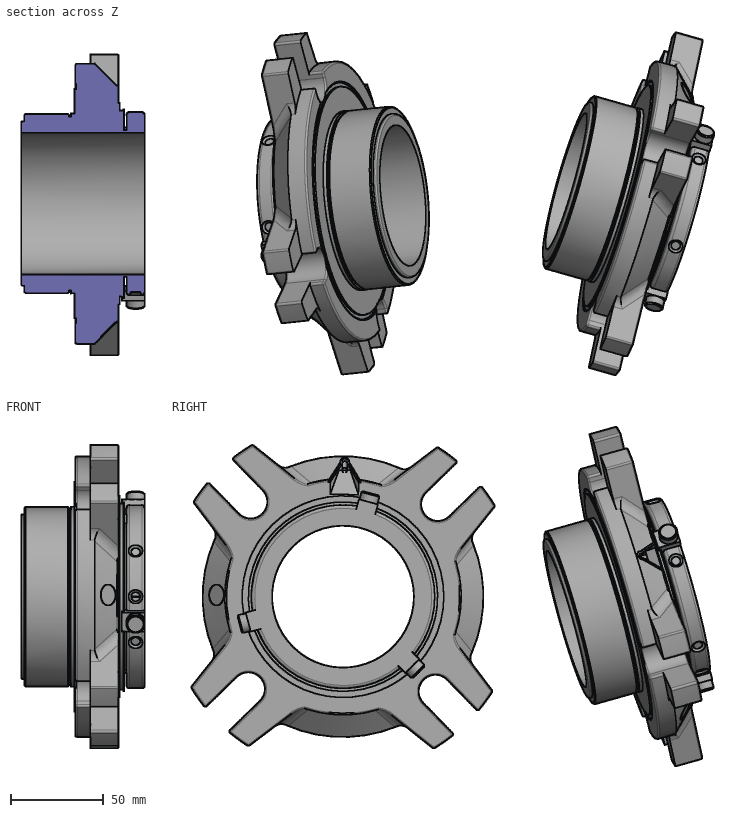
import cadquery as cq
import math


TOTAL_LENGTH = 66.56
BORE_DIA = 76.2
SLEEVE_DIA = 79.27
LIP_DIA = 88.79
LIP_FILLET = 0.9
BODY_DIA = 96.73
BODY_START = 1.66
BODY_END = 25.8
BODY_CHAMFER = 0.7
NECK_DIA = 93.68
NECK_END = 26.7
COLLET_DIA = 97.06

PILOT_DIA = 123.7
PILOT_FACE = 28.65
PLATE_DIA = 151.2
PLATE_FACE = 29.1
PLATE_EDGE_FILLET = 1.0
GROOVE_OUTER_DIA = 128.0
GROOVE_DEPTH = 0.5
GROOVE_MOUTH_DIA = 129.4
PLATE_BACK = 52.5
CONE_START = 39.5
CONE_END = 51.5
GLAND_TILT = -0.75

LUG_COUNT = 4
LUG_ANGLES = [i * 360 / LUG_COUNT for i in range(LUG_COUNT)]
LUG_TURN = 45
LUG_FACE = 37.2
LUG_TIP_RADIUS = 95.25
LUG_HALF_ANGLE = 13.49
LUG_FLARE = 7.0
LUG_ROOT_REACH = 45.0
LUG_ROOT_FILLET = 6.0
LUG_CORNER_FILLET = 1.1
LUG_BACK_FILLET = 0.9
SLOT_WIDTH = 17.9
SLOT_BOTTOM_RADIUS = 62.3

PLUG_DIA = 11.25
PLUG_STATION = 46.95
PLUG_RECESS = 0.3
NOTCH_TIP = 41.6
NOTCH_TIP_RADIUS = 1.325
NOTCH_HALF_WIDTH = 7.6
NOTCH_FLOOR_START = 45.6
NOTCH_FLOOR_RADIUS = 68.0
NOTCH_END_RADIUS = 55.0
NOTCH_LEDGE_WIDTH = 1.2
NOTCH_LEDGE_DEPTH = 0.5

HUB_DIA = 108.5
HUB_END = 53.1
NOSE_DIA = 100.33
NOSE_END = 54.9
RIM_DIA = 101.85
RIM_END = 55.45

COLLAR_DIA = 98.7
COLLAR_START = 56.6
COLLAR_FILLET = 1.7
COLLAR_MIDDLE = (COLLAR_START + TOTAL_LENGTH) / 2
SET_SCREW_ANGLES = [30, 90, 150, 210, 270, 330]
LOCK_SCREW_ANGLE = 180
SCREW_DIA = 4.91
LOCK_SLOT_WIDTH = 0.6
LOCK_SLOT_DEPTH = 0.6
COUNTERSINK_DIA = 7.6
COUNTERSINK_DEPTH = 1.3

CLIP_ANGLES = [75, 195, 315]
CLIP_WIDTH = 10.6
CLIP_START = 54.2
CLIP_INNER_RADIUS = 47.2
CLIP_OUTER_RADIUS = 52.8
HEAD_DIA = 9.99
HEAD_TOP_RADIUS = 57.6
HEAD_CHAMFER = 0.7


def cylinder(diameter, start, end):
    """Solid cylinder on the X axis between two stations."""
    return cq.Workplane("YZ", origin=(start, 0, 0)).circle(diameter / 2).extrude(end - start)


def about_axis(shape, angle):
    """Turn a shape about the X axis, from +Y toward +Z."""
    return shape.rotate((0, 0, 0), (1, 0, 0), angle)


def radial_plane(station, radius):
    """Workplane facing +Y at a given radius, with its local x direction along X."""
    return cq.Workplane(cq.Plane(origin=(station, radius, 0), xDir=(1, 0, 0), normal=(0, 1, 0)))


def cone_radius(station):
    """Radius of the 45 degree cone on the gland at a given station."""
    return PLATE_DIA / 2 - (station - CONE_START)


def make_seal_body():
    """Stepped body in front of the gland: lip, main cylinder, neck and collet."""
    lip = cylinder(LIP_DIA, 0, BODY_START).faces("<X").edges().fillet(LIP_FILLET)
    body = cylinder(BODY_DIA, BODY_START, BODY_END).edges().chamfer(BODY_CHAMFER)
    neck = cylinder(NECK_DIA, BODY_END, NECK_END)
    collet = cylinder(COLLET_DIA, NECK_END, PILOT_FACE)
    return lip.union(body).union(neck).union(collet)


def make_lug():
    """Lug pair as one block, pointing along +Y, before the slot is cut."""
    half_angle = math.radians(LUG_HALF_ANGLE)
    tip_y = LUG_TIP_RADIUS * math.cos(half_angle)
    tip_z = LUG_TIP_RADIUS * math.sin(half_angle)
    root_z = tip_z + (tip_y - LUG_ROOT_REACH) * math.tan(math.radians(LUG_FLARE))
    return (
        cq.Workplane("YZ", origin=(LUG_FACE, 0, 0))
        .moveTo(LUG_ROOT_REACH, -root_z)
        .lineTo(tip_y, -tip_z)
        .threePointArc((LUG_TIP_RADIUS, 0), (tip_y, tip_z))
        .lineTo(LUG_ROOT_REACH, root_z)
        .close()
        .extrude(PLATE_BACK - LUG_FACE)
    )


def make_slot():
    """Bolt slot cutter, open outward and pointing along +Y."""
    center = SLOT_BOTTOM_RADIUS + SLOT_WIDTH / 2
    half = SLOT_WIDTH / 2
    end = LUG_TIP_RADIUS + half
    return (
        cq.Workplane("YZ", origin=(PILOT_FACE, 0, 0))
        .moveTo(end, -half)
        .lineTo(center, -half)
        .threePointArc((SLOT_BOTTOM_RADIUS, 0), (center, half))
        .lineTo(end, half)
        .close()
        .extrude(PLATE_BACK - PILOT_FACE)
    )


def square_zone(reach):
    """Selector for edges along the lugs whose centers lie within a square about the axis."""
    return cq.selectors.BoxSelector((LUG_FACE, -reach, -reach), (PLATE_BACK, reach, reach))


def make_plate():
    """Gland plate with its cone, slotted lugs and rounded edges."""
    plate = (
        cq.Workplane("XY")
        .moveTo(PLATE_FACE, 0)
        .lineTo(PLATE_FACE, PLATE_DIA / 2)
        .lineTo(CONE_START, PLATE_DIA / 2)
        .lineTo(PLATE_BACK, cone_radius(PLATE_BACK))
        .lineTo(PLATE_BACK, 0)
        .close()
        .revolve(360, (0, 0, 0), (1, 0, 0))
    )
    root_zone = square_zone(PLATE_DIA / 2)
    inside_tips = square_zone(LUG_TIP_RADIUS - SLOT_WIDTH / 2)
    for angle in LUG_ANGLES:
        plate = plate.union(about_axis(make_lug(), angle))
    root_edges = plate.edges("|X").edges(root_zone).add(plate.edges("%HYPERBOLA"))
    plate = plate.newObject(root_edges.vals()).fillet(LUG_ROOT_FILLET)
    plate = plate.union(cylinder(2 * cone_radius(CONE_END), CONE_END, PLATE_BACK))

    for angle in LUG_ANGLES:
        plate = plate.cut(about_axis(make_slot(), angle))
    tip_edges = cq.selectors.ParallelDirSelector(cq.Vector(1, 0, 0)) - inside_tips
    plate = plate.edges(tip_edges).fillet(LUG_CORNER_FILLET)
    plate = plate.faces(">X").edges().fillet(LUG_BACK_FILLET)
    return plate.faces("<X").edges().fillet(PLATE_EDGE_FILLET)


def make_gland():
    """Gland plate with its raised pilot, face groove, ports and rear hub."""
    groove = (
        cq.Workplane("YZ", origin=(PLATE_FACE, 0, 0))
        .circle(GROOVE_MOUTH_DIA / 2)
        .workplane(offset=GROOVE_DEPTH)
        .circle(GROOVE_OUTER_DIA / 2)
        .loft()
    )
    pilot = cylinder(PILOT_DIA, PILOT_FACE, PLATE_FACE + GROOVE_DEPTH)
    for angle in LUG_ANGLES:
        pilot = pilot.cut(about_axis(make_slot(), angle))
    gland = make_plate().cut(groove).union(pilot)
    gland = about_axis(gland, LUG_TURN).cut(make_plug_recess()).cut(make_notch())
    hub = cylinder(HUB_DIA, PLATE_BACK, HUB_END)
    nose = cylinder(NOSE_DIA, HUB_END, NOSE_END)
    rim = cylinder(RIM_DIA, NOSE_END, RIM_END)
    return about_axis(gland, GLAND_TILT).union(hub).union(nose).union(rim)


def make_plug_recess():
    """Shallow round recess square to the cone, on the -Y side."""
    cutter = cq.Workplane(
        cq.Plane(
            origin=(PLUG_STATION, -cone_radius(PLUG_STATION), 0),
            xDir=(0, 0, 1),
            normal=(1, -1, 0),
        )
    )
    return cutter.workplane(offset=-PLUG_RECESS).circle(PLUG_DIA / 2).extrude(PLUG_DIA)


def notch_prism(margin):
    """Upright V-shaped prism over the notch, widened all round by a margin."""
    tip_radius = NOTCH_TIP_RADIUS + margin
    tip_center = NOTCH_TIP + NOTCH_TIP_RADIUS
    half_width = NOTCH_HALF_WIDTH + margin
    return (
        cq.Workplane("XY", origin=(0, 0, NOTCH_END_RADIUS))
        .moveTo(tip_center, -tip_radius)
        .threePointArc((tip_center - tip_radius, 0), (tip_center, tip_radius))
        .lineTo(PLATE_BACK, half_width)
        .lineTo(PLATE_BACK, -half_width)
        .close()
        .extrude(PLATE_DIA / 2 - NOTCH_END_RADIUS)
    )


def make_notch():
    """V-shaped notch in the +Z side of the cone, with a ledge around its mouth.

    Its floor is a round-bottomed shelf at the tip, then a steep slope toward the back.
    """
    top = PLATE_DIA / 2
    floor = (
        cq.Workplane("XZ", origin=(0, NOTCH_HALF_WIDTH, 0))
        .moveTo(NOTCH_TIP, top)
        .lineTo(NOTCH_TIP, NOTCH_FLOOR_RADIUS)
        .lineTo(NOTCH_FLOOR_START, NOTCH_FLOOR_RADIUS)
        .lineTo(PLATE_BACK, NOTCH_END_RADIUS)
        .lineTo(PLATE_BACK, top)
        .close()
        .extrude(2 * NOTCH_HALF_WIDTH)
    )
    groove = cylinder(2 * NOTCH_TIP_RADIUS, NOTCH_TIP, NOTCH_FLOOR_START)
    groove = groove.translate((0, 0, NOTCH_FLOOR_RADIUS))
    ledge_cone = (
        cq.Workplane("XY")
        .moveTo(CONE_START, 0)
        .lineTo(CONE_START, cone_radius(CONE_START) - NOTCH_LEDGE_DEPTH)
        .lineTo(PLATE_BACK, cone_radius(PLATE_BACK) - NOTCH_LEDGE_DEPTH)
        .lineTo(PLATE_BACK, 0)
        .close()
        .revolve(360, (0, 0, 0), (1, 0, 0))
    )
    ledge = notch_prism(NOTCH_LEDGE_WIDTH).cut(ledge_cone)
    return notch_prism(0).intersect(floor).union(groove).union(ledge)


def make_countersink():
    """Countersink cutter into the collar rim at +Y, down to a flat screw end."""
    rim = COLLAR_DIA / 2
    return (
        radial_plane(COLLAR_MIDDLE, rim - COUNTERSINK_DEPTH)
        .circle(SCREW_DIA / 2)
        .workplane(offset=COUNTERSINK_DEPTH)
        .circle(COUNTERSINK_DIA / 2)
        .loft()
    )


def make_collar():
    """Drive collar with countersunk screws, one of them slotted."""
    collar = cylinder(COLLAR_DIA, COLLAR_START, TOTAL_LENGTH).edges().fillet(COLLAR_FILLET)
    for angle in SET_SCREW_ANGLES + [LOCK_SCREW_ANGLE]:
        collar = collar.cut(about_axis(make_countersink(), angle))
    floor = COLLAR_DIA / 2 - COUNTERSINK_DEPTH
    lock_slot = (
        radial_plane(COLLAR_MIDDLE, floor)
        .rect(SCREW_DIA, LOCK_SLOT_WIDTH)
        .extrude(-LOCK_SLOT_DEPTH)
    )
    return collar.cut(about_axis(lock_slot, LOCK_SCREW_ANGLE))


def make_clip():
    """Clip block with its screw head, pointing along +Y."""
    block = (
        radial_plane((CLIP_START + TOTAL_LENGTH) / 2, CLIP_INNER_RADIUS)
        .rect(TOTAL_LENGTH - CLIP_START, CLIP_WIDTH)
        .extrude(CLIP_OUTER_RADIUS - CLIP_INNER_RADIUS)
    )
    head = (
        radial_plane(TOTAL_LENGTH - HEAD_DIA / 2, CLIP_OUTER_RADIUS)
        .circle(HEAD_DIA / 2)
        .extrude(HEAD_TOP_RADIUS - CLIP_OUTER_RADIUS)
        .faces(">Y")
        .edges()
        .chamfer(HEAD_CHAMFER)
    )
    return block.union(head)


result = make_seal_body().union(make_gland()).union(cylinder(SLEEVE_DIA, 0, TOTAL_LENGTH))
result = result.union(make_collar())
for clip_angle in CLIP_ANGLES:
    result = result.union(about_axis(make_clip(), clip_angle))
result = result.cut(cylinder(BORE_DIA, 0, TOTAL_LENGTH))